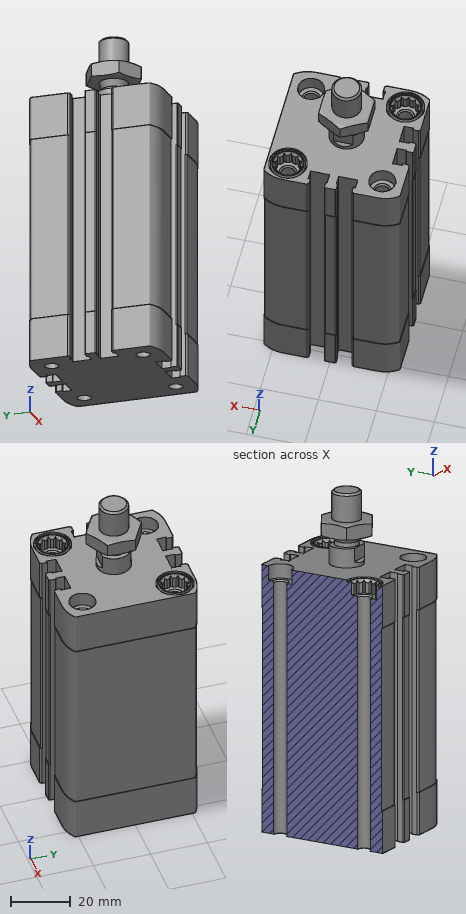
import cadquery as cq
import math

HOUSING_WIDTH = 47.0
HOUSING_HEIGHT = 94.0
CAP_HEIGHT = 15.0
TUBE_INSET = 0.2
CORNER_RADIUS = 12.0
CORNER_EDGE_RADIUS = 0.8
BOLT_SPACING = 32.5

SLOT_DEPTH = 5.7
LIP_DEPTH = 2.5
SLOT_INNER, SLOT_OUTER = 1.5, 8.1
LIP_INNER, LIP_OUTER = 2.0, 7.4
RIB_CHAMFER = 0.4
LIP_CHAMFER = 0.6

BOLT_HOLE_DIAMETER = 4.9
HOLE_CHAMFER_DIAMETER = 6.0
COUNTERBORE_DIAMETER = 9.0
COUNTERBORE_DEPTH = 5.0

GROOVE_DIAMETER = 12.8
GROOVE_DEPTH = 0.7
HEAD_DIAMETER = 11.8
HEAD_FACE_DIAMETER = 10.9
HEAD_SINK = 0.1
SOCKET_MOUTH_DIAMETER = 10.2
SOCKET_CONE_HEIGHT = 1.2
SOCKET_DEPTH = 5.0
POINT_DIAMETER = 9.6
POINT_COUNT = 12
TOOTH_TIP_DIAMETER = 8.5

ROD_DIAMETER = 12.0
THREAD_DIAMETER = 10.0
NECK_DIAMETER = 8.0
NECK_BASE_DIAMETER = 8.5
TIP_DIAMETER = 8.6
TIP_CHAMFER_HEIGHT = 0.7
ROD_TOP = 119.6
SHOULDER_Z = 100.7
NECK_HEIGHT = 1.4
NECK_CONE_TOP = 104.5
FLAT_SPACING = 9.9
FLAT_BOTTOM_Z = 96.0
FLAT_RUNOUT = 0.8

NUT_ACROSS_FLATS = 17.0
NUT_BOTTOM = 104.5
NUT_HEIGHT = 5.1
NUT_FACE_DIAMETER = 16.7
NUT_CHAMFER_ANGLE = 17.0

bolt = BOLT_SPACING / 2
half_width = HOUSING_WIDTH / 2


def body_block(inset, bottom, height):
    """Square prism whose corners are cut by arcs tangent to the front and back faces."""
    half = half_width - inset
    radius = CORNER_RADIUS - inset
    corner_dx = half - bolt
    corner_y = half - radius + math.sqrt(radius**2 - corner_dx**2)
    mid = math.radians(90) - math.asin(corner_dx / radius) / 2
    mid_x = bolt + radius * math.cos(mid)
    mid_y = half - radius + radius * math.sin(mid)
    outline = (
        cq.Workplane("XY", origin=(0, 0, bottom))
        .moveTo(-bolt, half)
        .lineTo(bolt, half)
        .threePointArc((mid_x, mid_y), (half, corner_y))
        .lineTo(half, -corner_y)
        .threePointArc((mid_x, -mid_y), (bolt, -half))
        .lineTo(-bolt, -half)
        .threePointArc((-mid_x, -mid_y), (-half, -corner_y))
        .lineTo(-half, corner_y)
        .threePointArc((-mid_x, mid_y), (-bolt, half))
        .close()
    )
    block = outline.extrude(height)
    for x in (-half, half):
        for y in (-corner_y, corner_y):
            nearest_edge = cq.selectors.NearestToPointSelector((x, y, bottom + height / 2))
            block = block.edges("|Z").edges(nearest_edge).fillet(CORNER_EDGE_RADIUS)
    return block


def slot_outline(side, inset):
    """Points of an undercut slot opening toward -Y, on one side (+1 or -1) of the rib."""
    face = -half_width + inset
    lip = -half_width + LIP_DEPTH
    floor = -half_width + SLOT_DEPTH
    points = [
        (LIP_INNER - RIB_CHAMFER, face),
        (LIP_INNER, face + RIB_CHAMFER),
        (LIP_INNER, lip),
        (SLOT_INNER, lip),
        (SLOT_INNER, floor),
        (SLOT_OUTER, floor),
        (SLOT_OUTER, lip),
        (LIP_OUTER, lip),
        (LIP_OUTER, face + LIP_CHAMFER),
        (LIP_OUTER + LIP_CHAMFER, face),
    ]
    return [(side * x, y) for x, y in points]


def cut_slots(block, inset, bottom, height):
    for angle in (0, 180, 270):
        for side in (-1, 1):
            cutter = (
                cq.Workplane("XY", origin=(0, 0, bottom))
                .polyline(slot_outline(side, inset))
                .close()
                .extrude(height)
                .rotate((0, 0, 0), (0, 0, 1), angle)
            )
            block = block.cut(cutter)
    return block


def slotted_section(inset, bottom, height):
    return cut_slots(body_block(inset, bottom, height), inset, bottom, height)


def revolve_profile(points):
    """Solid of revolution about Z from (radius, z) points."""
    return cq.Workplane("XZ").polyline(points).close().revolve(360, (0, 0, 0), (0, 1, 0))


def bolt_hole(recess_depth):
    """Through hole with a chamfered mouth at the bottom of its recess."""
    radius = BOLT_HOLE_DIAMETER / 2
    mouth = HOLE_CHAMFER_DIAMETER / 2
    mouth_z = HOUSING_HEIGHT - recess_depth
    return revolve_profile(
        [(0, 0), (radius, 0), (radius, mouth_z - (mouth - radius)), (mouth, mouth_z), (0, mouth_z)]
    )


def counterbored_hole():
    floor = cq.Workplane("XY", origin=(0, 0, HOUSING_HEIGHT - COUNTERBORE_DEPTH))
    counterbore = floor.circle(COUNTERBORE_DIAMETER / 2).extrude(COUNTERBORE_DEPTH)
    return counterbore.union(bolt_hole(COUNTERBORE_DEPTH))


def twelve_point_socket():
    """Star of turned squares around a round core, up to the housing top."""
    floor = cq.Workplane("XY", origin=(0, 0, HOUSING_HEIGHT - SOCKET_DEPTH))
    star_height = SOCKET_DEPTH - HEAD_SINK
    socket = floor.circle(TOOTH_TIP_DIAMETER / 2).extrude(star_height)
    square_side = POINT_DIAMETER / math.sqrt(2)
    square = floor.rect(square_side, square_side).extrude(star_height)
    for i in range(POINT_COUNT // 4):
        angle = 45 + i * 360 / POINT_COUNT
        socket = socket.union(square.rotate((0, 0, 0), (0, 0, 1), angle))
    return socket


def screw_head_hole():
    """Groove around the head, the space above its face, the coned socket mouth and the star."""
    face_z = HOUSING_HEIGHT - HEAD_SINK
    groove_z = HOUSING_HEIGHT - GROOVE_DEPTH
    cone_z = face_z - SOCKET_CONE_HEIGHT
    mouth_and_groove = revolve_profile(
        [
            (0, cone_z),
            (TOOTH_TIP_DIAMETER / 2, cone_z),
            (SOCKET_MOUTH_DIAMETER / 2, face_z),
            (HEAD_FACE_DIAMETER / 2, face_z),
            (HEAD_DIAMETER / 2, groove_z),
            (GROOVE_DIAMETER / 2, groove_z),
            (GROOVE_DIAMETER / 2, HOUSING_HEIGHT),
            (0, HOUSING_HEIGHT),
        ]
    )
    return mouth_and_groove.union(twelve_point_socket()).union(bolt_hole(SOCKET_DEPTH))


def make_housing():
    tube_height = HOUSING_HEIGHT - 2 * CAP_HEIGHT
    body = slotted_section(0, 0, CAP_HEIGHT)
    body = body.union(slotted_section(TUBE_INSET, CAP_HEIGHT, tube_height))
    body = body.union(slotted_section(0, HOUSING_HEIGHT - CAP_HEIGHT, CAP_HEIGHT))
    for x in (-bolt, bolt):
        for y in (-bolt, bolt):
            hole = screw_head_hole() if x == y else counterbored_hole()
            body = body.cut(hole.translate((x, y, 0)))
    return body


def make_rod():
    rod = (
        cq.Workplane("XZ")
        .moveTo(0, HOUSING_HEIGHT)
        .lineTo(ROD_DIAMETER / 2, HOUSING_HEIGHT)
        .lineTo(ROD_DIAMETER / 2, SHOULDER_Z)
        .lineTo(NECK_BASE_DIAMETER / 2, SHOULDER_Z)
        .lineTo(NECK_DIAMETER / 2, SHOULDER_Z + NECK_HEIGHT)
        .lineTo(THREAD_DIAMETER / 2, NECK_CONE_TOP)
        .lineTo(THREAD_DIAMETER / 2, ROD_TOP - TIP_CHAMFER_HEIGHT)
        .lineTo(TIP_DIAMETER / 2, ROD_TOP)
        .lineTo(0, ROD_TOP)
        .close()
        .revolve(360, (0, 0, 0), (0, 1, 0))
    )
    flat = FLAT_SPACING / 2
    reach = ROD_DIAMETER / 2
    for side in (-1, 1):
        flat_cutter = (
            cq.Workplane("YZ")
            .polyline(
                [
                    (side * flat, SHOULDER_Z),
                    (side * flat, FLAT_BOTTOM_Z),
                    (side * reach, FLAT_BOTTOM_Z - FLAT_RUNOUT),
                    (side * reach, SHOULDER_Z),
                ]
            )
            .close()
            .extrude(reach, both=True)
        )
        rod = rod.cut(flat_cutter)
    return rod


def make_nut():
    across_corners = NUT_ACROSS_FLATS / math.cos(math.radians(30))
    nut = (
        cq.Workplane("XY", origin=(0, 0, NUT_BOTTOM))
        .polygon(6, across_corners)
        .extrude(NUT_HEIGHT)
        .rotate((0, 0, 0), (0, 0, 1), 30)
    )
    face = NUT_FACE_DIAMETER / 2
    corner = across_corners / 2
    drop = (corner - face) * math.tan(math.radians(NUT_CHAMFER_ANGLE))
    top = NUT_BOTTOM + NUT_HEIGHT
    envelope = revolve_profile(
        [
            (THREAD_DIAMETER / 2, NUT_BOTTOM),
            (face, NUT_BOTTOM),
            (corner, NUT_BOTTOM + drop),
            (corner, top - drop),
            (face, top),
            (THREAD_DIAMETER / 2, top),
        ]
    )
    return nut.intersect(envelope)


housing = make_housing()
rod = make_rod()
nut = make_nut()
result = cq.Compound.makeCompound([housing.val(), rod.val(), nut.val()])